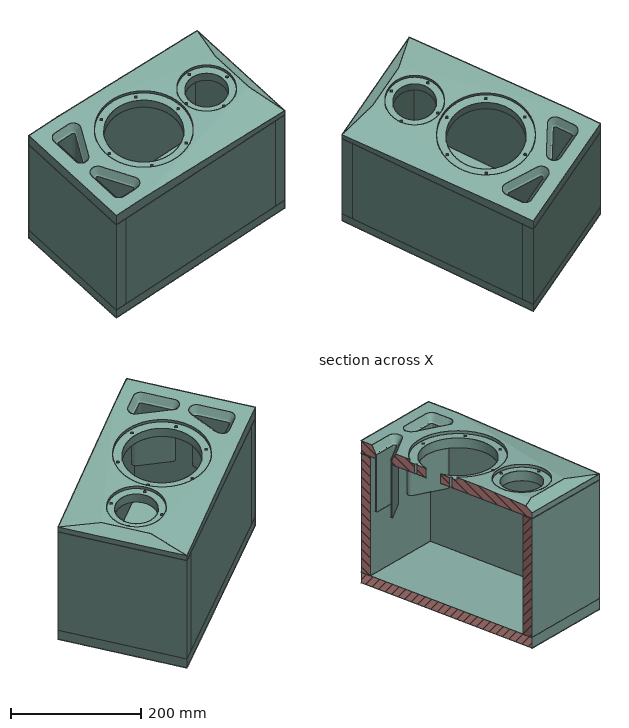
import cadquery as cq

width = 208.0
length = 338.0
height = 247.27
panel_thickness = 19.0
baffle_thickness = 21.0 + 1.0
seal_gap = 0.5

baffle_top = height
baffle_bottom = baffle_top - baffle_thickness
wall_height = baffle_bottom - seal_gap - panel_thickness

flat_half_width = 40.0
end_slope_run = 18.0
corner_drop = 12.0
slope_start_y = -112.0

recess_depth = 5.0
screw_diameter = 4.0

tweeter_y = 100.0
tweeter_flange_diameter = 91.5
tweeter_hole_diameter = 67.0
tweeter_screw_circle = 82.0
tweeter_screws = 4

woofer_y = -26.0
woofer_flange_diameter = 151.5
woofer_hole_diameter = 123.0
woofer_screw_circle = 138.0
woofer_screws = 6

port_corner_x = 69.8
port_corner_y = -135.0
port_run = 49.8
port_rise = 26.5
mouth_offset = 12.0
throat_offset = 5.0
bore_offset = 3.0
mouth_slope = 3 ** 0.5
duct_wall = 3.0
duct_length = 100.0

mouth_depth = (mouth_offset - throat_offset) * mouth_slope
lead_in_depth = throat_offset - bore_offset
duct_offset = bore_offset + duct_wall
throat_z = baffle_top - mouth_depth
duct_top = throat_z - lead_in_depth

half_width = width / 2
half_length = length / 2
sides = (-1, 1)


def make_back_panel():
    return cq.Workplane("XY").box(width, length, panel_thickness, centered=(True, True, False))


def make_end_wall(side):
    """Full-width wall across one end of the cabinet."""
    y = side * (half_length - panel_thickness / 2)
    return (
        cq.Workplane("XY", origin=(0, y, panel_thickness))
        .box(width, panel_thickness, wall_height, centered=(True, True, False))
    )


def make_side_wall(side):
    """Long wall fitted between the two end walls."""
    x = side * (half_width - panel_thickness / 2)
    return (
        cq.Workplane("XY", origin=(x, 0, panel_thickness))
        .box(panel_thickness, length - 2 * panel_thickness, wall_height, centered=(True, True, False))
    )


def port_outline(side, offset, z):
    """Rounded triangular outline of the port on one side, at height z."""
    corner_x = side * port_corner_x
    return (
        cq.Workplane("XY", origin=(0, 0, z))
        .moveTo(corner_x, port_corner_y)
        .lineTo(corner_x - side * port_run, port_corner_y)
        .lineTo(corner_x, port_corner_y + port_rise)
        .close()
        .offset2D(offset)
    )


def make_port_taper(side, bottom_offset, bottom_z, top_offset, top_z):
    """Taper between two port outlines at different heights."""
    bottom = port_outline(side, bottom_offset, bottom_z).val()
    top = port_outline(side, top_offset, top_z).val()
    return cq.Workplane(cq.Solid.makeLoft([bottom, top], True))


def make_duct(side):
    """Reflex duct, socketed into the back of the baffle."""
    duct_bottom = duct_top - duct_length
    outside = port_outline(side, duct_offset, duct_bottom).extrude(duct_length)
    bore = port_outline(side, bore_offset, duct_bottom).extrude(duct_length)
    return outside.cut(bore)


def make_tetrahedron(a, b, c, d):
    faces = [
        cq.Face.makeFromWires(cq.Wire.makePolygon([cq.Vector(*p) for p in triangle], close=True))
        for triangle in ((a, b, c), (a, b, d), (a, c, d), (b, c, d))
    ]
    return cq.Workplane(cq.Solid.makeSolid(cq.Shell.makeShell(faces)))


def cut_slopes(baffle):
    """Slope the two long sides and the tweeter end away from the flat front."""
    flat_end_y = half_length - end_slope_run
    for side in sides:
        flat_corner = (side * flat_half_width, flat_end_y, baffle_top)
        top_corner = (side * half_width, half_length, baffle_top)
        low_corner = (side * half_width, half_length, baffle_top - corner_drop)
        slope_start = (side * half_width, slope_start_y, baffle_top)
        baffle = baffle.cut(make_tetrahedron(flat_corner, top_corner, slope_start, low_corner))

    end_profile = (
        cq.Workplane("YZ", origin=(-half_width, 0, 0))
        .moveTo(flat_end_y, baffle_top)
        .lineTo(half_length, baffle_top)
        .lineTo(half_length, baffle_top - corner_drop)
        .close()
    )
    return baffle.cut(end_profile.extrude(width))


def cut_driver(baffle, y, flange_diameter, hole_diameter, screw_circle, screw_count):
    """Flange recess, through hole and ring of screw holes for one driver."""
    front = cq.Workplane("XY", origin=(0, y, baffle_top))
    recess = front.circle(flange_diameter / 2).extrude(-recess_depth)
    hole = front.circle(hole_diameter / 2).extrude(-baffle_thickness)
    screws = (
        front.polarArray(screw_circle / 2, 90, 360, screw_count)
        .circle(screw_diameter / 2)
        .extrude(-baffle_thickness)
    )
    return baffle.cut(recess).cut(hole).cut(screws)


def cut_port(baffle, side):
    """Flared mouth, chamfered throat and the socket that holds the duct."""
    mouth = make_port_taper(side, throat_offset, throat_z, mouth_offset, baffle_top)
    lead_in = make_port_taper(side, bore_offset, duct_top, throat_offset, throat_z)
    socket = port_outline(side, duct_offset, baffle_bottom).extrude(duct_top - baffle_bottom)
    return baffle.cut(mouth).cut(lead_in).cut(socket)


def make_baffle():
    baffle = (
        cq.Workplane("XY", origin=(0, 0, baffle_bottom))
        .box(width, length, baffle_thickness, centered=(True, True, False))
    )
    baffle = cut_slopes(baffle)
    baffle = cut_driver(
        baffle, tweeter_y, tweeter_flange_diameter, tweeter_hole_diameter,
        tweeter_screw_circle, tweeter_screws,
    )
    baffle = cut_driver(
        baffle, woofer_y, woofer_flange_diameter, woofer_hole_diameter,
        woofer_screw_circle, woofer_screws,
    )
    for side in sides:
        baffle = cut_port(baffle, side)
    return baffle


back_panel = make_back_panel()
end_walls = [make_end_wall(side) for side in sides]
side_walls = [make_side_wall(side) for side in sides]
ducts = [make_duct(side) for side in sides]
baffle = make_baffle()

result = cq.Compound.makeCompound([
    back_panel.val(),
    *[wall.val() for wall in end_walls],
    *[wall.val() for wall in side_walls],
    *[duct.val() for duct in ducts],
    *baffle.vals(),
])